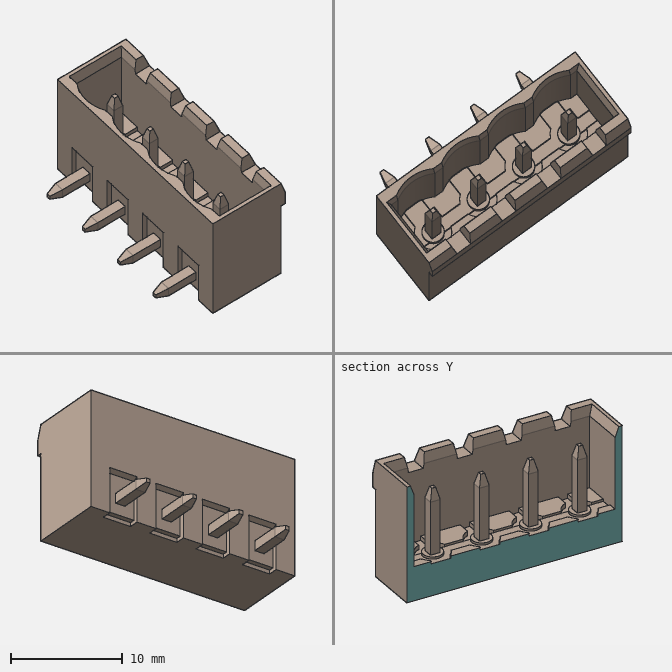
import cadquery as cq


length = 22.33
height = 11.95
body_depth = 7.84

lip_overhang = 0.5
lip_height = 3.0
lip_slope_height = 1.5

pin_count = 4
pin_pitch = 5.08
pin_y = 3.75
pin_width = 1.0
pin_tip_width = 0.4
pin_taper = 1.2
pin_top_z = 10.23
leg_z = 2.03
leg_projection = 3.86

floor_z = 3.57
end_wall = 0.75
back_wall = 1.12
front_wall = 1.25
scallop_half_width = 2.08
scallop_depth = 0.58
mouth_height = 1.0
mouth_end_widening = 0.38
mouth_back_widening = 0.27
mouth_front_widening = 0.2

channel_depth = 0.22
rear_channel_depth = 0.45
channel_strip_front_y = 3.1
channel_strip_back_y = 4.3
channel_disc_radius = 1.67
front_channel_width = 2.03
boss_radius = 1.0

notch_top_width = 2.05
notch_floor_width = 1.52
notch_depth = lip_slope_height

pocket_width = 2.97
pocket_height = 4.65
pocket_back_height = 4.38
pocket_depth = 0.5
undercut_height = 0.4
undercut_depth = 1.0

pin_xs = [(i - (pin_count - 1) / 2) * pin_pitch for i in range(pin_count)]


def box(x_size, y_range, z_range, x_center=0.0):
    """Box centred on x_center that spans the given y and z ranges."""
    y_size = y_range[1] - y_range[0]
    z_size = z_range[1] - z_range[0]
    corner = (x_center - x_size / 2, y_range[0], z_range[0])
    return cq.Workplane("XY").box(x_size, y_size, z_size, centered=False).translate(corner)


def yz_prism(points, width, x_center=0.0):
    """Extrude a (y, z) outline along X, centred on x_center."""
    prism = cq.Workplane("YZ").polyline(points).close().extrude(width / 2, both=True)
    return prism.translate((x_center, 0, 0))


def make_housing():
    lip_y = body_depth + lip_overhang
    return yz_prism(
        [
            (0, 0),
            (body_depth, 0),
            (body_depth, height - lip_height),
            (lip_y, height - lip_height),
            (lip_y, height - lip_slope_height),
            (body_depth, height),
            (0, height),
        ],
        length,
    )


def draw_cavity(plane, half_length, front_y, back_y):
    """Cavity outline with one scallop per pin in its front side."""
    outline = plane.moveTo(-half_length, back_y).lineTo(-half_length, front_y)
    for x in pin_xs:
        outline = outline.lineTo(x - scallop_half_width, front_y)
        outline = outline.threePointArc((x, front_y - scallop_depth), (x + scallop_half_width, front_y))
    return outline.lineTo(half_length, front_y).lineTo(half_length, back_y).close()


def make_cavity():
    half_length = length / 2 - end_wall
    back_y = body_depth - back_wall
    inner = (half_length, front_wall, back_y)
    rim = (
        half_length + mouth_end_widening,
        front_wall - mouth_front_widening,
        back_y + mouth_back_widening,
    )
    mouth_z = height - mouth_height
    well = draw_cavity(cq.Workplane("XY").workplane(offset=floor_z), *inner).extrude(mouth_z - floor_z)
    mouth = draw_cavity(cq.Workplane("XY").workplane(offset=mouth_z), *inner)
    mouth = draw_cavity(mouth.workplane(offset=mouth_height), *rim).loft(ruled=True)
    return well.union(mouth)


def make_floor_channels():
    """Channel along the row with a disc and arms at each pin, deeper to the rear, around a round boss."""
    front_y = front_wall - scallop_depth
    back_y = body_depth - back_wall
    channel_z = (floor_z - channel_depth, floor_z)
    rear_z = (floor_z - rear_channel_depth, floor_z)
    pin_centers = cq.Workplane("XY").workplane(offset=rear_z[0]).pushPoints([(x, pin_y) for x in pin_xs])
    discs = pin_centers.circle(channel_disc_radius).extrude(rear_channel_depth)
    bosses = pin_centers.circle(boss_radius).extrude(rear_channel_depth)

    channels = box(length - 2 * end_wall, (channel_strip_front_y, channel_strip_back_y), channel_z)
    channels = channels.union(discs.intersect(box(length, (front_y, channel_strip_back_y), channel_z)))
    channels = channels.union(discs.intersect(box(length, (channel_strip_back_y, back_y), rear_z)))
    for x in pin_xs:
        channels = channels.union(box(front_channel_width, (front_y, pin_y), channel_z, x))
        channels = channels.union(box(pin_width, (channel_strip_back_y, back_y), rear_z, x))
    return channels.cut(bosses)


def make_notch(x):
    half_top = notch_top_width / 2
    half_floor = notch_floor_width / 2
    floor = height - notch_depth
    outline = [(x - half_top, height), (x - half_floor, floor), (x + half_floor, floor), (x + half_top, height)]
    start_y = body_depth - back_wall
    notch = cq.Workplane("XZ", origin=(0, start_y, 0)).polyline(outline).close()
    return notch.extrude(-(back_wall + lip_overhang))


def make_pocket(x):
    """Pocket with a sloped ceiling and a deeper undercut along the underside."""
    return yz_prism(
        [
            (0, 0),
            (undercut_depth, 0),
            (undercut_depth, undercut_height),
            (pocket_depth, undercut_height),
            (pocket_depth, pocket_back_height),
            (0, pocket_height),
        ],
        pocket_width,
        x,
    )


def make_tapered_bar(bar_length):
    """Square bar rising from the origin along Z, tapered to a blunt tip."""
    shank = bar_length - pin_taper
    bar = cq.Workplane("XY").rect(pin_width, pin_width).extrude(shank)
    tip = cq.Workplane("XY").workplane(offset=shank).rect(pin_width, pin_width)
    tip = tip.workplane(offset=pin_taper).rect(pin_tip_width, pin_tip_width).loft(ruled=True)
    return bar.union(tip)


def make_pin(x):
    """L-shaped pin: a post up into the cavity and a leg out through the front pocket."""
    elbow_z = leg_z - pin_width / 2
    elbow_y = pin_y + pin_width / 2
    post = make_tapered_bar(pin_top_z - elbow_z).translate((x, pin_y, elbow_z))
    leg = make_tapered_bar(elbow_y + leg_projection).rotate((0, 0, 0), (1, 0, 0), 90)
    return post.union(leg.translate((x, elbow_y, leg_z)))


result = make_housing().cut(make_cavity()).cut(make_floor_channels())
for pin_x in pin_xs:
    result = result.cut(make_notch(pin_x)).cut(make_pocket(pin_x))
    result = result.union(make_pin(pin_x))